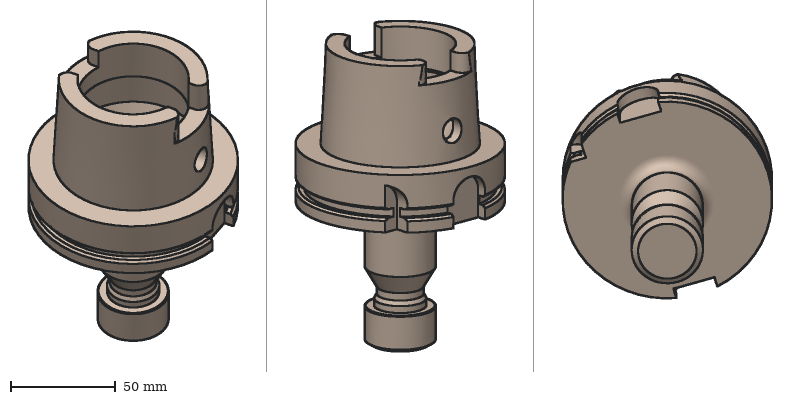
import cadquery as cq
import math

total_height = 149.9
flange_bottom = 71.0
flange_top = 100.0
groove_bottom = 78.0
groove_top = 82.1
groove_lip_height = 1.2
groove_lip_width = 1.5

flange_radius = 100.0 / 2
groove_radius = 46.0
taper_base_radius = 38.0
taper_top_radius = 35.5

stem_radius = 34.0 / 2
stem_relief_radius = 33.6 / 2
neck_radius = 22.5 / 2
collar_radius = 25.0 / 2
foot_radius = 14.0
foot_chamfer_height = 2.0
head_top = 18.9
head_chamfer = 0.5
collar_top = 22.3
neck_bottom = 24.7
neck_top = 28.5
stem_bottom = 38.4
stem_top = 63.0
relief_bottom = 63.4
root_fillet = 5.8

bore_radius = 53.0 / 2
chamber_radius = 63.1 / 2
bore_floor_radius = 24.9
bore_floor = 98.3
chamber_bottom = 109.9
chamber_top = 126.7
lip_bottom = 129.7

slot_width = 20.4
rim_flat_x = 32.2
rim_corner_radius = 4.6
rim_corner_sweep = 115.0
rim_floor_left = 140.0
rim_floor_right = 134.9
keyway_top = 95.0
keyway_floor_x = 44.0
notch_floor_x = 31.8
notch_center_y = 41.2

cross_hole_diameter = 12.0
cross_hole_height = 115.0

clearance = 15.0


def body():
    """Revolve the stem, grooved flange and taper as one solid."""
    lip_radius = flange_radius - groove_lip_width
    profile = (
        cq.Workplane("XZ")
        .lineTo(foot_radius, 0)
        .lineTo(stem_radius, foot_chamfer_height)
        .lineTo(stem_radius, head_top - head_chamfer)
        .lineTo(stem_radius - head_chamfer, head_top)
        .lineTo(collar_radius, head_top)
        .lineTo(collar_radius, collar_top)
        .lineTo(neck_radius, neck_bottom)
        .lineTo(neck_radius, neck_top)
        .lineTo(stem_radius, stem_bottom)
        .lineTo(stem_radius, stem_top)
        .lineTo(stem_relief_radius, relief_bottom)
        .lineTo(stem_relief_radius, flange_bottom - root_fillet)
        .radiusArc((stem_relief_radius + root_fillet, flange_bottom), root_fillet)
        .lineTo(flange_radius, flange_bottom)
        .lineTo(flange_radius, groove_bottom - groove_lip_height)
        .lineTo(lip_radius, groove_bottom)
        .lineTo(groove_radius, groove_bottom)
        .lineTo(groove_radius, groove_top)
        .lineTo(lip_radius, groove_top)
        .lineTo(flange_radius, groove_top + groove_lip_height)
        .lineTo(flange_radius, flange_top)
        .lineTo(taper_base_radius, flange_top)
        .lineTo(taper_top_radius, total_height)
        .lineTo(0, total_height)
        .close()
    )
    return profile.revolve(360, (0, 0), (0, 1))


def bore():
    """Bore with a conical lip above the chamber and a cone from the chamber to the floor."""
    profile = (
        cq.Workplane("XZ")
        .moveTo(0, bore_floor)
        .lineTo(bore_floor_radius, bore_floor)
        .lineTo(chamber_radius, chamber_bottom)
        .lineTo(chamber_radius, chamber_top)
        .lineTo(bore_radius, lip_bottom)
        .lineTo(bore_radius, total_height)
        .lineTo(0, total_height)
        .close()
    )
    return profile.revolve(360, (0, 0), (0, 1))


def rim_slot(side, floor):
    """Slot through one side of the rim that opens outward around rounded corners."""
    half_width = slot_width / 2
    outer_x = taper_base_radius + clearance
    center_x = rim_flat_x - rim_corner_radius
    center_y = half_width + rim_corner_radius

    def corner_point(sweep):
        """Point on the +Y corner arc, swept from the slot wall toward the taper."""
        angle = math.radians(sweep - 90)
        x = center_x + rim_corner_radius * math.cos(angle)
        y = center_y + rim_corner_radius * math.sin(angle)
        return side * x, y

    wall_end, middle, tip = (corner_point(rim_corner_sweep * part) for part in (0, 0.5, 1))
    half = (
        cq.Workplane("XY", origin=(0, 0, floor))
        .lineTo(0, half_width)
        .lineTo(*wall_end)
        .threePointArc(middle, tip)
        .lineTo(side * outer_x, tip[1])
        .lineTo(side * outer_x, 0)
        .close()
        .extrude(total_height - floor)
    )
    return half.union(half.mirror("XZ"))


def keyway(side, floor_x, center_y):
    """Round-topped pocket, open at the flange bottom and outward along X."""
    half_width = slot_width / 2
    arch_start = keyway_top - half_width
    outline = (
        cq.Workplane("YZ", origin=(side * floor_x, 0, 0))
        .moveTo(center_y - half_width, flange_bottom)
        .lineTo(center_y - half_width, arch_start)
        .threePointArc((center_y, keyway_top), (center_y + half_width, arch_start))
        .lineTo(center_y + half_width, flange_bottom)
        .close()
    )
    return outline.extrude(side * (flange_radius - floor_x + clearance))


def cross_hole():
    """Radial hole along X through both walls of the taper."""
    return (
        cq.Workplane("YZ", origin=(0, 0, cross_hole_height))
        .circle(cross_hole_diameter / 2)
        .extrude(flange_radius, both=True)
    )


result = body().cut(bore()).cut(cross_hole())
for side, rim_floor in ((-1, rim_floor_left), (1, rim_floor_right)):
    result = result.cut(rim_slot(side, rim_floor))
    result = result.cut(keyway(side, keyway_floor_x, 0))
result = result.cut(keyway(-1, notch_floor_x, notch_center_y))